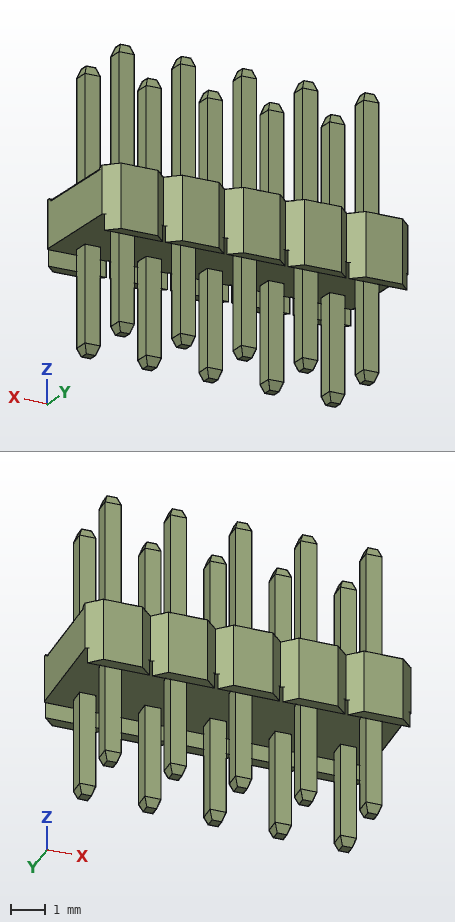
import cadquery as cq

PITCH = 2.0
COLUMNS = 5
ROWS = 2

BODY_LENGTH = COLUMNS * PITCH
BODY_WIDTH = ROWS * PITCH
BODY_HEIGHT = 2.0
CORNER_CHAMFER = 0.4

FOOT_HEIGHT = 0.5
FOOT_WIDTH = 0.35

GROOVE_LENGTH = 3.0
GROOVE_DEPTH = 0.1
GROOVE_HALF_WIDTH = 0.1

PIN_SIZE = 0.5
PIN_TIP_SIZE = 0.3
PIN_TIP_LENGTH = 0.28
PIN_ABOVE_BODY = 4.0
PIN_BELOW_BODY = 2.8


def centred_positions(count):
    """Positions of `count` items, one pitch apart and centred on zero."""
    return [(i - (count - 1) / 2) * PITCH for i in range(count)]


def make_cell(x):
    """One chamfered block of the body, holding one column of pins."""
    return (
        cq.Workplane("XY")
        .box(PITCH, BODY_WIDTH, BODY_HEIGHT, centered=(True, True, False))
        .edges("|Z")
        .chamfer(CORNER_CHAMFER)
        .translate((x, 0, 0))
    )


def make_channel():
    """Channel cut through the full length of the underside."""
    channel_width = BODY_WIDTH - 2 * FOOT_WIDTH
    return cq.Workplane("XY").box(
        BODY_LENGTH, channel_width, FOOT_HEIGHT, centered=(True, True, False)
    )


def make_groove(x):
    """V-groove along Y, its ends sloping at 45 degrees like a hipped roof."""
    half_length = GROOVE_LENGTH / 2
    profile = [
        (-GROOVE_HALF_WIDTH, 0),
        (GROOVE_HALF_WIDTH, 0),
        (0, -GROOVE_DEPTH),
    ]
    side = [
        (-half_length, 0),
        (half_length, 0),
        (half_length - GROOVE_DEPTH, -GROOVE_DEPTH),
        (-half_length + GROOVE_DEPTH, -GROOVE_DEPTH),
    ]
    vee = cq.Workplane("XZ").polyline(profile).close().extrude(half_length, both=True)
    ends = cq.Workplane("YZ").polyline(side).close().extrude(GROOVE_HALF_WIDTH, both=True)
    return vee.intersect(ends).translate((x, 0, BODY_HEIGHT))


def make_pin_tip(base_z, direction):
    """Tapered tip starting at base_z and pointing up (1) or down (-1)."""
    tip_z = direction * PIN_TIP_LENGTH
    return (
        cq.Workplane("XY", origin=(0, 0, base_z))
        .rect(PIN_SIZE, PIN_SIZE)
        .workplane(offset=tip_z)
        .rect(PIN_TIP_SIZE, PIN_TIP_SIZE)
        .loft(ruled=True)
    )


def make_pin():
    """One square pin on the Z axis, tapered at both ends."""
    shaft_bottom = PIN_TIP_LENGTH - PIN_BELOW_BODY
    shaft_top = BODY_HEIGHT + PIN_ABOVE_BODY - PIN_TIP_LENGTH
    shaft = (
        cq.Workplane("XY", origin=(0, 0, shaft_bottom))
        .rect(PIN_SIZE, PIN_SIZE)
        .extrude(shaft_top - shaft_bottom)
    )
    return shaft.union(make_pin_tip(shaft_top, 1)).union(make_pin_tip(shaft_bottom, -1))


def make_body():
    """Row of cells with the underside channel and the top grooves cut."""
    cell_centres = centred_positions(COLUMNS)
    body = make_cell(cell_centres[0])
    for x in cell_centres[1:]:
        body = body.union(make_cell(x))
    body = body.cut(make_channel())
    for x in centred_positions(COLUMNS + 1):
        body = body.cut(make_groove(x))
    return body


result = make_body()
pin = make_pin()
for pin_x in centred_positions(COLUMNS):
    for pin_y in centred_positions(ROWS):
        result = result.union(pin.translate((pin_x, pin_y, 0)))